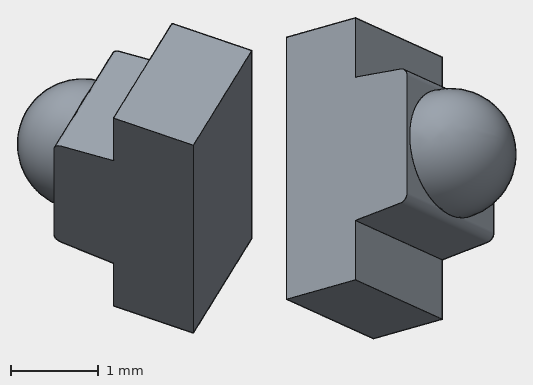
import cadquery as cq
import math

height = 3.2
width = 1.6
plate_thickness = 1.0

housing_depth = 0.75
housing_root_height = 1.75
draft_angle = 5.0
edge_radius = 0.1

lens_radius = 0.75

housing_front_x = -housing_depth
half_root = housing_root_height / 2
half_front = half_root - housing_depth * math.tan(math.radians(draft_angle))

plate = cq.Workplane("XY").box(plate_thickness, width, height, centered=(False, True, True))

housing = (
    cq.Workplane("XZ")
    .polyline([
        (0, -half_root),
        (housing_front_x, -half_front),
        (housing_front_x, half_front),
        (0, half_root),
    ])
    .close()
    .extrude(width / 2, both=True)
    .faces("<X")
    .edges("|Y")
    .fillet(edge_radius)
)

arc_offset = lens_radius * math.sqrt(0.5)
lens = (
    cq.Workplane("XY")
    .moveTo(housing_front_x, 0)
    .lineTo(housing_front_x, lens_radius)
    .threePointArc(
        (housing_front_x - arc_offset, arc_offset),
        (housing_front_x - lens_radius, 0),
    )
    .close()
    .revolve(360, (housing_front_x, 0), (housing_front_x - lens_radius, 0))
)

result = plate.union(housing).union(lens)